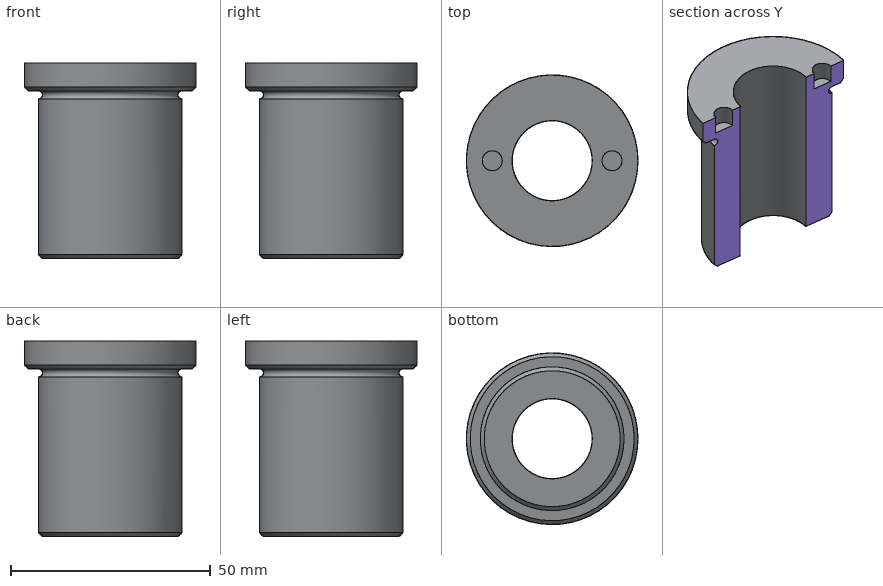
import cadquery as cq

total_height = 49.0
flange_diameter = 43.0
flange_thickness = 7.0
body_diameter = 36.0
bore_diameter = 20.0

chamfer = 1.0
groove_width = 2.0

pin_hole_diameter = 5.0
pin_hole_depth = 5.0
pin_hole_spacing = 30.0

flange_radius = flange_diameter / 2
body_radius = body_diameter / 2
bore_radius = bore_diameter / 2
groove_radius = groove_width / 2

flange_bottom = total_height - flange_thickness
groove_bottom = flange_bottom - groove_width
groove_middle = flange_bottom - groove_radius


def make_bushing():
    """Revolve the half section, including the bore and the half-round groove, about Z."""
    section = (
        cq.Workplane("XZ")
        .moveTo(bore_radius, 0)
        .lineTo(body_radius - chamfer, 0)
        .lineTo(body_radius, chamfer)
        .lineTo(body_radius, groove_bottom)
        .threePointArc((body_radius - groove_radius, groove_middle), (body_radius, flange_bottom))
        .lineTo(flange_radius - chamfer, flange_bottom)
        .lineTo(flange_radius, flange_bottom + chamfer)
        .lineTo(flange_radius, total_height)
        .lineTo(bore_radius, total_height)
        .close()
    )
    return section.revolve(360, (0, 0, 0), (0, 1, 0))


def make_pin_holes():
    """Two flat-bottomed holes on the X axis, sunk from the top face."""
    return (
        cq.Workplane("XY")
        .workplane(offset=total_height)
        .pushPoints([(side * pin_hole_spacing / 2, 0) for side in (-1, 1)])
        .circle(pin_hole_diameter / 2)
        .extrude(-pin_hole_depth)
    )


result = make_bushing().cut(make_pin_holes())